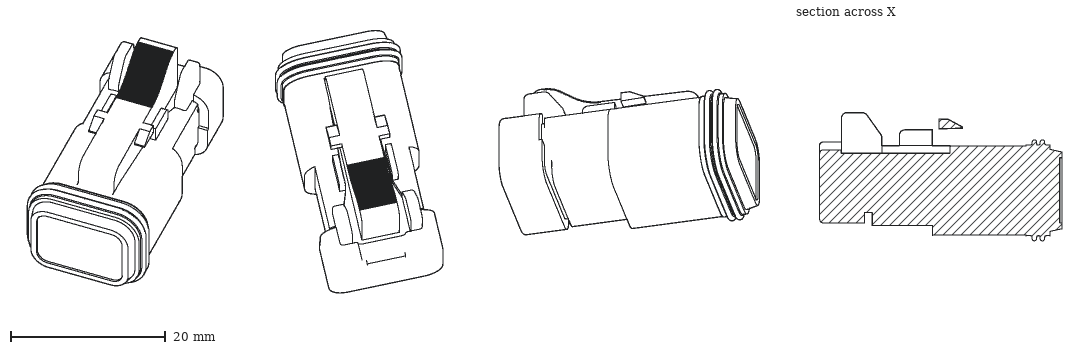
import cadquery as cq
import math

overall_length = 31.38
rear_y = overall_length / 2
nose_y = -overall_length / 2

corner_x = 4.33
corner_z = 2.55
shell_radius = 3.25
shell_half_x = corner_x + shell_radius
shell_top = corner_z + shell_radius
shell_rear_y = 1.1

seal_rear_y = -11.0
seal_front_y = -14.15
seal_radius = shell_radius + 0.1
rib_half_x = 16.55 / 2
rib_half_z = 6.55
rib_corner_radius = 3.95
rib_round_radius = 0.3
rib_flare = 0.13
rib_centres_y = (-12.1, -13.15)
nose_base_radius = 2.8
nose_tip_radius = 2.45
nose_recess_half_x = 5.95
nose_recess_half_z = 4.2
nose_recess_radius = 1.5
nose_recess_depth = 0.28
nose_overlap = 0.3

waist_half_x = 6.25
waist_bottom = -4.55
waist_radius = waist_half_x - corner_x
neck_front_y = 8.88

collar_front_y = 9.85
collar_step_y = 10.25
collar_step_z = 0.95
collar_top = 6.28
collar_bottom = -4.25
collar_radius = 2.6
collar_inset = shell_half_x - waist_half_x
collar_rounding = 0.47
channel_floor_half_x = 2.55
channel_floor_radius = 0.6
channel_lip_radius = 0.47
channel_floor_z = collar_top - channel_lip_radius - channel_floor_radius

post_inner_x = 3.9
post_outer_x = 5.45
post_rear_y = 12.87
post_front_y = 7.63
post_ridge_y = 9.75
post_top = 10.07
post_shoulder_z = 7.05
post_base_z = 3.75
post_rear_rounding = 0.75
post_ridge_rounding = 0.88
post_shoulder_rounding = 0.47
post_edge_rounding = 0.4

stop_inner_x = 3.1
stop_rear_y = 5.37
stop_top = 7.85
stop_rounding = 0.75

relief_depth = 0.97
relief_front_y = -7.85
relief_floor = shell_top - relief_depth

lever_half_x = 2.48
lever_rear_y = 12.2
lever_front_y = -9.82
lever_crest = 12.45
lever_crest_radius = 0.95
lever_front_top = 9.07
lever_front_radius = 1.8
lever_foot_radius = 0.47
lever_base_z = 4.08

grip_rear_y = 10.8
grip_grooves = 27
grip_pitch = 0.28
grip_groove_width = grip_pitch / 2
grip_groove_depth = 0.11
grip_angle = math.radians(35)
grip_end_z = 9.3
grip_crest_radius = 3.65

wing_rear_y = 0.25
wing_ridge_y = -0.95
wing_tip_y = -2.8
wing_bottom = 7.95
wing_tip_top = 8.22
wing_tip_bottom = 8.03


def bar(front_y, back_y, half_x, bottom, top, radius):
    """Rounded-rectangle bar running along Y."""
    mid_z = (bottom + top) / 2
    profile = cq.Workplane("XZ", origin=(0, back_y, mid_z)).rect(2 * half_x, top - bottom)
    return profile.extrude(back_y - front_y).edges("|Y").fillet(radius)


def core_bar(front_y, back_y, radius):
    """Bar whose corner arcs are centred on the common shell corner centres."""
    half_z = corner_z + radius
    return bar(front_y, back_y, corner_x + radius, -half_z, half_z, radius)


def block(x_range, y_range, z_range):
    """Axis-aligned block between the given limits."""
    ranges = (x_range, y_range, z_range)
    sizes = [high - low for low, high in ranges]
    return cq.Workplane("XY", origin=[low for low, _ in ranges]).box(*sizes, centered=False)


def both_sides(solid):
    """Solid together with its mirror image across the YZ plane."""
    return solid.union(solid.mirror("YZ"))


def rib_centreline(centre_y):
    """Closed path through the centre of a seal rib's round crest."""
    side_x = rib_half_x - rib_round_radius
    side_z = rib_half_z - rib_round_radius
    radius = rib_corner_radius - rib_round_radius
    bend_x = side_x - radius
    bend_z = side_z - radius
    return (
        cq.Workplane("XZ", origin=(0, centre_y, 0))
        .moveTo(-bend_x, side_z)
        .lineTo(bend_x, side_z)
        .radiusArc((side_x, bend_z), radius)
        .lineTo(side_x, -bend_z)
        .radiusArc((bend_x, -side_z), radius)
        .lineTo(-bend_x, -side_z)
        .radiusArc((-side_x, -bend_z), radius)
        .lineTo(-side_x, bend_z)
        .radiusArc((-bend_x, side_z), radius)
        .wire()
    )


def seal_rib(centre_y):
    """Seal rib with a fully round crest and a chamfered flare where it leaves its seat."""
    front_y = centre_y - rib_round_radius
    back_y = centre_y + rib_round_radius
    path = rib_centreline(centre_y)
    start = path.val().startPoint()
    web = bar(front_y, back_y, rib_half_x - rib_round_radius, rib_round_radius - rib_half_z,
              rib_half_z - rib_round_radius, rib_corner_radius - rib_round_radius)
    crest = cq.Workplane("YZ", origin=start.toTuple()).circle(rib_round_radius).sweep(path)
    flare = core_bar(front_y - rib_flare, back_y + rib_flare, seal_radius + rib_flare)
    flare = flare.faces("<Y or >Y").edges().chamfer(rib_flare)
    return web.union(crest).union(flare)


def nose():
    """Tapered front end with a shallow recess in its face."""
    length = seal_front_y - nose_y
    taper = math.degrees(math.atan((nose_base_radius - nose_tip_radius) / length))
    base = core_bar(seal_front_y, seal_front_y + nose_overlap, nose_base_radius)
    cone = base.faces("<Y").wires().toPending().workplane().extrude(length, taper=taper)
    recess = bar(nose_y, nose_y + nose_recess_depth, nose_recess_half_x,
                 -nose_recess_half_z, nose_recess_half_z, nose_recess_radius)
    return cone.cut(recess)


def waist():
    """Shell continuation with flattened sides and a raised bottom, open below the neck."""
    envelope = bar(shell_rear_y, collar_front_y, waist_half_x, waist_bottom, lever_crest, waist_radius)
    body = core_bar(shell_rear_y, collar_front_y, shell_radius).intersect(envelope)
    notch_top = collar_bottom + collar_radius
    notch = block((-shell_half_x, shell_half_x), (neck_front_y, collar_front_y), (-shell_top, notch_top))
    return body.cut(notch)


def collar():
    """Rear collar and neck; the collar has a stepped front edge and a channel along its top."""
    body = bar(collar_front_y, rear_y, shell_half_x, collar_bottom, collar_top, collar_radius)
    body = body.cut(collar_channel())
    body = body.faces(">Y").edges().fillet(collar_rounding)
    square_floor = block((-channel_floor_half_x, channel_floor_half_x),
                         (post_rear_y, rear_y), (0, channel_floor_z))
    body = body.union(square_floor)
    step = block((-shell_half_x, shell_half_x),
                 (collar_front_y, collar_step_y), (collar_step_z, collar_top))
    neck = bar(neck_front_y, collar_step_y, waist_half_x, collar_bottom + collar_inset,
               collar_top - collar_inset, collar_radius - collar_inset)
    return body.cut(step).union(neck)


def collar_channel():
    """Cutter for the channel in the collar top, with S-shaped side walls."""
    wall_x = channel_floor_half_x + channel_floor_radius
    lip_x = wall_x + channel_lip_radius
    wall_z = collar_top - channel_lip_radius
    quarter = math.sqrt(0.5)
    floor_mid = (channel_floor_half_x + channel_floor_radius * quarter,
                 wall_z - channel_floor_radius * quarter)
    lip_mid = (lip_x - channel_lip_radius * quarter, wall_z + channel_lip_radius * quarter)
    half_profile = (
        cq.Workplane("XZ", origin=(0, rear_y, 0))
        .moveTo(0, channel_floor_z)
        .lineTo(channel_floor_half_x, channel_floor_z)
        .threePointArc(floor_mid, (wall_x, wall_z))
        .threePointArc(lip_mid, (lip_x, collar_top))
        .lineTo(0, collar_top)
        .close()
    )
    return both_sides(half_profile.extrude(rear_y - post_rear_y))


def guard_post():
    """Guard post with rounded outer edges on the +X side."""
    profile = [
        (post_rear_y, post_base_z),
        (post_rear_y, post_top),
        (post_ridge_y, post_top),
        (post_front_y, post_shoulder_z),
        (post_front_y, post_base_z),
    ]
    post = cq.Workplane("YZ", origin=(post_inner_x, 0, 0)).polyline(profile).close()
    post = post.extrude(post_outer_x - post_inner_x)
    post = post.edges("|X and >Y and >Z").fillet(post_rear_rounding)
    ridge = cq.selectors.NearestToPointSelector((post_outer_x, post_ridge_y, post_top))
    shoulder = cq.selectors.NearestToPointSelector((post_outer_x, post_front_y, post_shoulder_z))
    post = post.edges("|X").edges(ridge).fillet(post_ridge_rounding)
    post = post.edges("|X").edges(shoulder).fillet(post_shoulder_rounding)
    return post.faces(">X").edges().fillet(post_edge_rounding)


def stop_rib():
    """Upright rib beside the latch on the +X side."""
    rib = block((stop_inner_x, post_inner_x), (shell_rear_y, stop_rear_y), (post_base_z, stop_top))
    return rib.edges("|X and >Y and >Z").fillet(stop_rounding)


def latch_relief():
    """Cutter for the relief: full width between the posts, narrowing towards the lever foot."""
    half_outline = [
        (0, post_rear_y),
        (post_inner_x, post_rear_y),
        (post_inner_x, post_front_y),
        (stop_inner_x, stop_rear_y),
        (lever_half_x, relief_front_y),
        (0, relief_front_y),
    ]
    half = cq.Workplane("XY", origin=(0, 0, relief_floor)).polyline(half_outline).close()
    return both_sides(half.extrude(lever_crest - relief_floor))


def grip_height(y):
    """Height of the smooth grip curve at the given Y."""
    run = grip_grooves * grip_pitch
    drop = lever_crest - grip_end_z
    ramp_slope = math.tan(grip_angle)
    rise_share = math.sin(grip_angle) * ramp_slope - (1 - math.cos(grip_angle))
    hollow_radius = (run * ramp_slope - drop) / rise_share - grip_crest_radius
    crest_run = grip_crest_radius * math.sin(grip_angle)
    hollow_run = hollow_radius * math.sin(grip_angle)
    travelled = grip_rear_y - y
    remaining = run - travelled
    if travelled < crest_run:
        return lever_crest - grip_crest_radius + math.sqrt(grip_crest_radius**2 - travelled**2)
    if remaining < hollow_run:
        return grip_end_z + hollow_radius - math.sqrt(hollow_radius**2 - remaining**2)
    ramp_start = lever_crest - grip_crest_radius * (1 - math.cos(grip_angle))
    return ramp_start - (travelled - crest_run) * ramp_slope


def lever():
    """Latch lever with a grooved thumb grip and a filleted front foot."""
    profile = (
        cq.Workplane("YZ", origin=(-lever_half_x, 0, 0))
        .moveTo(lever_rear_y, lever_base_z)
        .lineTo(lever_rear_y, lever_crest)
    )
    for groove in range(grip_grooves):
        groove_rear_y = grip_rear_y - groove * grip_pitch
        groove_front_y = groove_rear_y - grip_groove_width
        rear_z = grip_height(groove_rear_y)
        front_z = grip_height(groove_front_y)
        profile = (
            profile.lineTo(groove_rear_y, rear_z)
            .lineTo(groove_rear_y, rear_z - grip_groove_depth)
            .lineTo(groove_front_y, front_z - grip_groove_depth)
            .lineTo(groove_front_y, front_z)
        )
    profile = (
        profile.lineTo(grip_rear_y - grip_grooves * grip_pitch, grip_end_z)
        .lineTo(lever_front_y, lever_front_top)
        .lineTo(lever_front_y, shell_top + lever_foot_radius)
        .radiusArc((lever_front_y - lever_foot_radius, shell_top), lever_foot_radius)
        .lineTo(lever_front_y - lever_foot_radius, lever_base_z)
        .close()
    )
    body = profile.extrude(2 * lever_half_x)
    rear_crest = cq.selectors.NearestToPointSelector((0, lever_rear_y, lever_crest))
    front_top = cq.selectors.NearestToPointSelector((0, lever_front_y, lever_front_top))
    body = body.edges("|X").edges(rear_crest).fillet(lever_crest_radius)
    return body.edges("|X").edges(front_top).fillet(lever_front_radius)


def wings():
    """Latch wings: one wedge-nosed bar across the lever."""
    top_run = grip_rear_y - grip_grooves * grip_pitch - lever_front_y
    top_slope = (grip_end_z - lever_front_top) / top_run
    rear_top = lever_front_top + top_slope * (wing_rear_y - lever_front_y)
    ridge_top = lever_front_top + top_slope * (wing_ridge_y - lever_front_y)
    profile = [
        (wing_rear_y, wing_bottom),
        (wing_rear_y, rear_top),
        (wing_ridge_y, ridge_top),
        (wing_tip_y, wing_tip_top),
        (wing_tip_y, wing_tip_bottom),
    ]
    bar_profile = cq.Workplane("YZ", origin=(-post_inner_x, 0, 0)).polyline(profile).close()
    return bar_profile.extrude(2 * post_inner_x)


housing = core_bar(seal_rear_y, shell_rear_y, shell_radius)
housing = housing.union(core_bar(seal_front_y, seal_rear_y, seal_radius))
for rib_y in rib_centres_y:
    housing = housing.union(seal_rib(rib_y))
housing = housing.union(nose()).union(waist()).union(collar())
housing = housing.cut(latch_relief())
housing = housing.union(both_sides(guard_post())).union(both_sides(stop_rib()))
result = housing.union(lever()).union(wings())